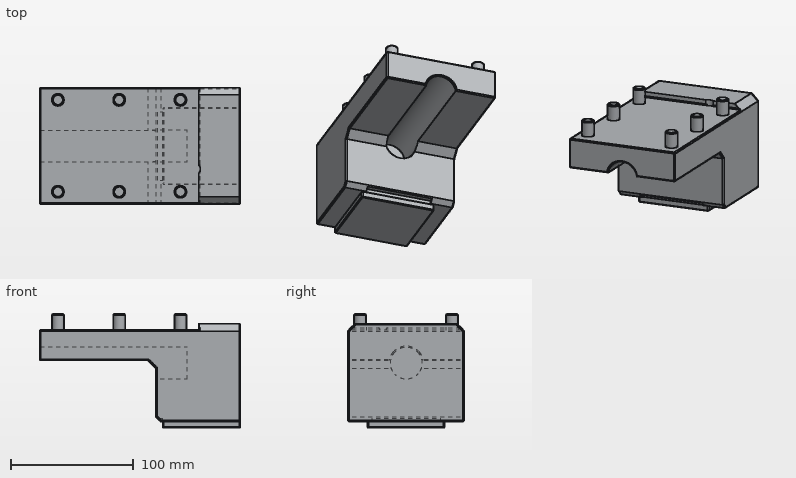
import cadquery as cq

length = 164.0
width = 95.0
edge_chamfer = 1.0

overlap = 2.0

block_bottom = 5.0
plate_bottom = 55.0
plate_top = 80.0
step_top = 85.0
pin_top = 93.0

block_front = 95.0
step_front = 130.0

inner_corner_chamfer = 6.5
block_bottom_chamfer = 4.0
step_side_chamfer = 6.0

relief_diameter = 3.0
relief_depth = 0.7
relief_axis_rise = 0.2

notch_diameter = 10.0
notch_depth = 1.3
notch_y = -19.0

pin_diameter = 10.0
pin_chamfer = 1.0
first_pin_x = 15.0
pin_pitch_x = 50.0
pins_per_row = 3
pin_y = 37.5

bore_diameter = 26.0
bore_z = 53.0
bore_end = 120.0

key_front = 100.5
key_width = 63.0
key_chamfer = 1.0
key_bottom_chamfer = 0.7
slot_width = 56.0
slot_depth = 3.0
slot_end = 100.0


def box(x_min, x_max, y_size, z_min, z_max):
    """Box centred on Y between the given X and Z limits."""
    return cq.Workplane("XY").box(
        x_max - x_min, y_size, z_max - z_min, centered=(False, True, False)
    ).translate((x_min, 0, z_min))


def make_body():
    """L-shaped plate and block with broken end and side edges."""
    profile = [
        (0, plate_top),
        (0, plate_bottom),
        (block_front - inner_corner_chamfer, plate_bottom),
        (block_front, plate_bottom - inner_corner_chamfer),
        (block_front, block_bottom + block_bottom_chamfer),
        (block_front + block_bottom_chamfer, block_bottom),
        (length, block_bottom),
        (length, plate_top),
    ]
    body = cq.Workplane("XZ").polyline(profile).close().extrude(width / 2, both=True)
    return body.faces("<Y or >Y or <X or >X").edges().chamfer(edge_chamfer)


def make_step():
    """Raised step at the +X end with sloping sides and an undercut foot."""
    slope_bottom = step_top - step_side_chamfer
    half_width = width / 2
    half_top = half_width - step_side_chamfer
    root = slope_bottom - overlap
    section = [
        (-half_width, slope_bottom),
        (-half_top, step_top),
        (half_top, step_top),
        (half_width, slope_bottom),
        (half_width, root),
        (-half_width, root),
    ]
    step = cq.Workplane("YZ").polyline(section).close().extrude(length - step_front)
    return step.translate((step_front, 0, 0)).faces(">X").edges("not <Z").chamfer(edge_chamfer)


def make_pins():
    """Two rows of chamfered pins standing on the plate."""
    points = [
        (first_pin_x + i * pin_pitch_x, y) for i in range(pins_per_row) for y in (-pin_y, pin_y)
    ]
    pins = cq.Workplane("XY", origin=(0, 0, plate_top - overlap)).pushPoints(points)
    pins = pins.circle(pin_diameter / 2).extrude(pin_top - plate_top + overlap)
    return pins.faces(">Z").chamfer(pin_chamfer)


def make_relief():
    """Round undercut along the foot of the step, above the plate surface."""
    radius = relief_diameter / 2
    rod = cq.Workplane("XZ", origin=(step_front + relief_depth - radius, 0, plate_top + relief_axis_rise))
    rod = rod.circle(radius).extrude(width / 2, both=True)
    return rod.intersect(box(step_front - radius, length, width, plate_top, step_top))


def make_notch():
    """Upright round cutter for the notch in the step face."""
    radius = notch_diameter / 2
    center_x = step_front + notch_depth - radius
    notch = cq.Workplane("XY").circle(radius).extrude(step_top - plate_top)
    notch = notch.rotate((0, 0, 0), (0, 0, 1), 180)
    return notch.translate((center_x, notch_y, plate_top))


def make_bore():
    """Blind bore along X with a broken edge where it enters the plate."""
    radius = bore_diameter / 2
    bore = cq.Workplane("YZ", origin=(0, 0, bore_z)).circle(radius).extrude(bore_end)
    mouth = cq.Solid.makeCone(
        radius + edge_chamfer, radius, edge_chamfer, cq.Vector(0, 0, bore_z), cq.Vector(1, 0, 0)
    )
    return bore.union(cq.Workplane(mouth))


def make_key():
    """Key under the block with chamfered edges."""
    key = box(key_front, length, key_width, 0, block_bottom)
    return key.edges("|Z").chamfer(key_chamfer).faces("<Z").edges().chamfer(key_bottom_chamfer)


def make_slot():
    """Open slot through the bottom chamfer of the block, ahead of the key."""
    return box(block_front, slot_end, slot_width, block_bottom, block_bottom + slot_depth)


result = make_body().union(make_step())
result = result.cut(make_relief()).cut(make_notch()).cut(make_slot())
result = result.cut(make_bore())
result = result.union(make_key()).union(make_pins())